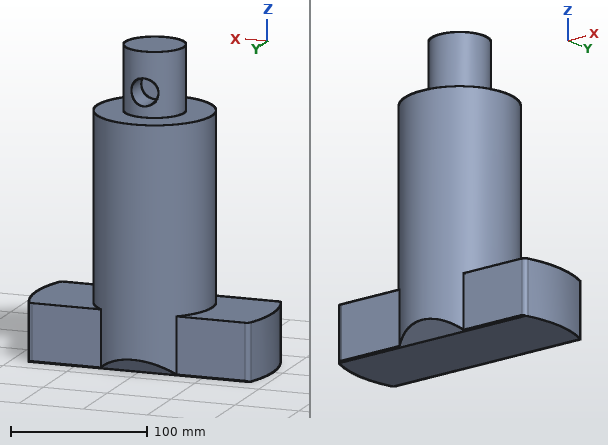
import cadquery as cq

total_height = 240.0
body_diameter = 90.0
pin_diameter = 46.0
pin_length = 50.0
body_height = total_height - pin_length

foot_length = 185.0
foot_width = 68.0
foot_height = 45.0
foot_corner_diameter = 8.0

bottom_chamfer = 12.0

hole_diameter = 21.0
hole_above_shoulder = 19.0
hole_depth = pin_diameter / 2


def make_foot():
    """Cross bar with ends lying on one common cylinder and rounded corners."""
    bar = cq.Workplane("XY").box(foot_length, foot_width, foot_height, centered=(True, True, False))
    round_ends = cq.Workplane("XY").circle(foot_length / 2).extrude(foot_height)
    foot = bar.intersect(round_ends)
    corners = foot.edges("|Z").edges("<Y or >Y")
    return corners.fillet(foot_corner_diameter / 2)


def make_shaft():
    """Main body with the narrower pin on top."""
    body = cq.Workplane("XY").circle(body_diameter / 2).extrude(body_height)
    return body.faces(">Z").workplane().circle(pin_diameter / 2).extrude(pin_length)


def make_chamfer_cutter(side):
    """Triangular bar that trims the lower edge on the +Y (1) or -Y (-1) side."""
    outer_y = side * body_diameter / 2
    inner_y = side * (body_diameter / 2 - bottom_chamfer)
    far_y = outer_y + side * bottom_chamfer
    points = [
        (inner_y - side * bottom_chamfer, -bottom_chamfer),
        (far_y, -bottom_chamfer),
        (far_y, 2 * bottom_chamfer),
    ]
    return cq.Workplane("YZ").polyline(points).close().extrude(foot_length / 2, both=True)


def make_pin_hole():
    """Blind cross hole running from the pin's +Y side to its axis."""
    hole_z = body_height + hole_above_shoulder
    return (
        cq.Workplane("XZ", origin=(0, pin_diameter / 2, hole_z))
        .circle(hole_diameter / 2)
        .extrude(hole_depth)
    )


result = make_shaft().union(make_foot())
for side in (-1, 1):
    result = result.cut(make_chamfer_cutter(side))
result = result.cut(make_pin_hole())